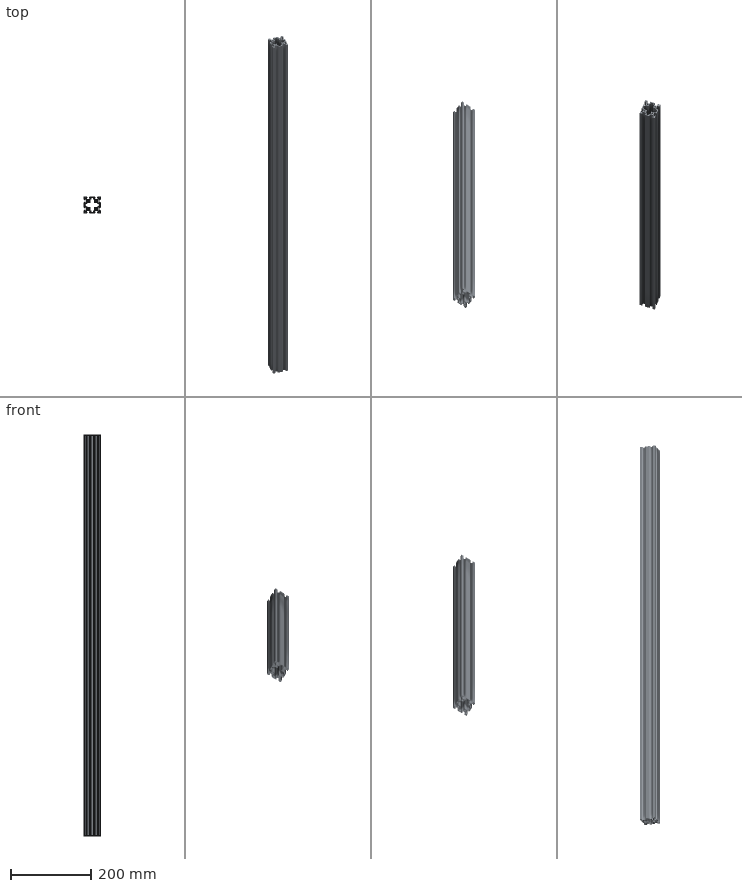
import cadquery as cq
import math

length = 1000.0
cell = 20.0
half_cell = cell / 2
half_side = cell
cells_per_side = 2

mouth_half_width = 9.16 / 2
neck_half_width = 5.68 / 2
cavity_half_width = 11.0 / 2
wall = 1.8
core_half_width = 7.8 / 2
screw_hole_diameter = 4.2

web = 1.5
web_offset = web / math.sqrt(2)

hollow_end_half_width = 2.7


def bar(outline):
    return cq.Workplane("XY").polyline(outline).close().extrude(length)


def v_slot():
    """Slot on the +Y face, in the middle of the +X cell."""
    cavity_top = half_cell - wall
    neck_top = half_cell - (mouth_half_width - neck_half_width)
    right_flank = [
        (core_half_width - web_offset, core_half_width),
        (cavity_half_width, cavity_half_width + web_offset),
        (cavity_half_width, cavity_top),
        (neck_half_width, cavity_top),
        (neck_half_width, neck_top),
        (mouth_half_width, half_cell),
    ]
    left_flank = [(-x, y) for x, y in reversed(right_flank)]
    return bar(right_flank + left_flank).translate((half_cell, half_cell, 0))


def hollow_arm():
    """Arm of the central hollow that reaches from the centre to the +Y wall."""
    half_width = half_cell - core_half_width
    end = half_side - wall
    web_line = 2 * half_cell - web_offset
    right_side = [
        (half_width, 0),
        (half_width, web_line - half_width),
        (hollow_end_half_width, web_line - hollow_end_half_width),
        (hollow_end_half_width, end),
    ]
    left_side = [(-x, y) for x, y in reversed(right_side)]
    return bar(right_side + left_side)


def screw_holes():
    return (
        cq.Workplane("XY")
        .rarray(cell, cell, cells_per_side, cells_per_side)
        .circle(screw_hole_diameter / 2)
        .extrude(length)
    )


def central_hollow():
    hollow = hollow_arm()
    for quarter in range(1, 4):
        hollow = hollow.union(hollow_arm().rotate((0, 0, 0), (0, 0, 1), 90 * quarter))
    return hollow


def extrusion():
    body = cq.Workplane("XY").rect(2 * half_side, 2 * half_side).extrude(length)
    for quarter in range(4):
        for slot in (v_slot(), v_slot().mirror("YZ")):
            body = body.cut(slot.rotate((0, 0, 0), (0, 0, 1), 90 * quarter))
    return body.cut(central_hollow()).cut(screw_holes())


result = extrusion()